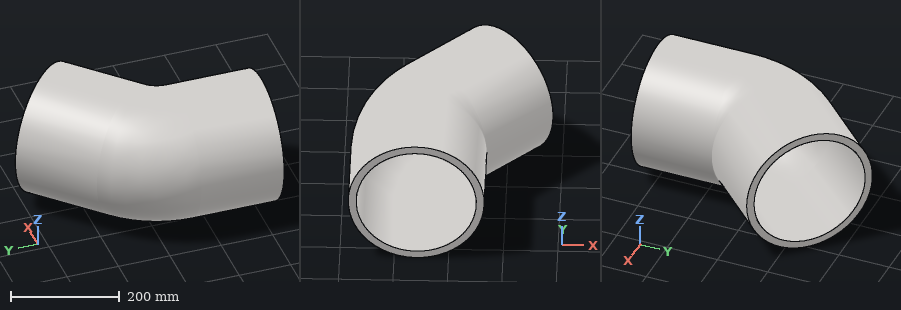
import cadquery as cq
import math

OUTER_DIAMETER = 250.0
WALL = 14.8
OUTER_RADIUS = OUTER_DIAMETER / 2
INNER_RADIUS = OUTER_RADIUS - WALL

BEND_ANGLE = 45.0
INSIDE_CORNER_RADIUS = 1.0
BEND_RADIUS = OUTER_RADIUS + INSIDE_CORNER_RADIUS

INLET_REACH = 213.0
OUTLET_OFFSET_X = 155.0
OUTLET_REACH = OUTLET_OFFSET_X / math.sin(math.radians(BEND_ANGLE))

BEND_TANGENT = BEND_RADIUS * math.tan(math.radians(BEND_ANGLE / 2))
INLET_LENGTH = INLET_REACH - BEND_TANGENT
OUTLET_LENGTH = OUTLET_REACH - BEND_TANGENT


def make_inlet(radius):
    """Straight cylinder along +Y that ends where the bend starts, at Y = 0."""
    return cq.Workplane("XZ").circle(radius).extrude(INLET_LENGTH)


def make_bend(radius):
    """Torus sector that turns the axis from +Y towards +X."""
    return (
        cq.Workplane("XZ")
        .circle(radius)
        .revolve(BEND_ANGLE, (BEND_RADIUS, 1, 0), (BEND_RADIUS, 0, 0))
    )


def make_outlet(radius):
    """Straight cylinder from the end of the bend, turned with the bend."""
    return (
        cq.Workplane("XZ")
        .circle(radius)
        .extrude(-OUTLET_LENGTH)
        .rotate((BEND_RADIUS, 0, 0), (BEND_RADIUS, 0, 1), -BEND_ANGLE)
    )


def make_pipe(radius):
    """Solid rod that follows the whole elbow."""
    return make_inlet(radius).union(make_bend(radius)).union(make_outlet(radius))


result = make_pipe(OUTER_RADIUS).cut(make_pipe(INNER_RADIUS))